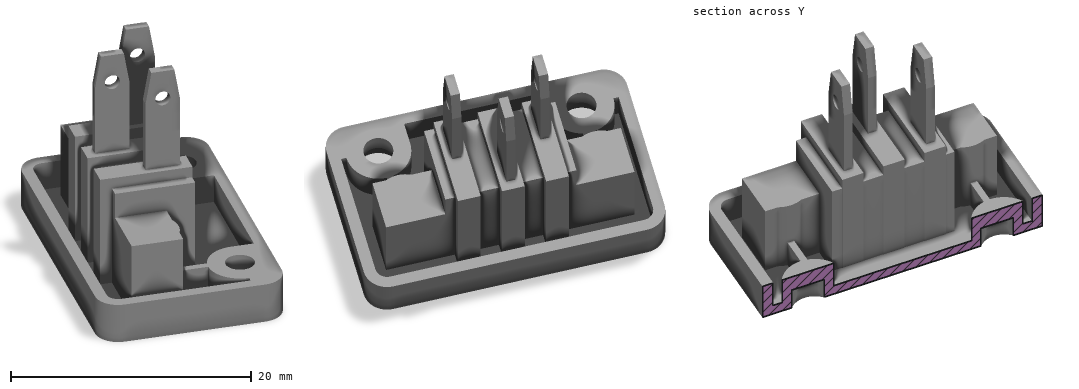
import cadquery as cq

TRAY_LENGTH = 25.9
TRAY_WIDTH = 16.2
TRAY_HEIGHT = 3.55
TRAY_CORNER_RADIUS = 2.0
WALL = 1.0
FLOOR = 1.0

SCREW_X = 8.75
SCREW_Y = 5.1
SCREW_HOLE_DIAMETER = 2.5
BOSS_RADIUS = 2.75
COUNTERBORE_DIAMETER = 4.0
COUNTERBORE_DEPTH = 2.0

BODY_LENGTH = 21.4
BODY_FRONT_Y = -4.85
BODY_REAR_Y = -0.38
BODY_TOP_Z = 7.7
SWELL_X = 8.45
SWELL_HEIGHT = 0.25
SWELL_CHORD = 2.2

WEB_THICKNESS = 0.6

HOUSING_LEFT_X = -5.6
HOUSING_RIGHT_X = 5.7
HOUSING_REAR_Y = 2.1
HOUSING_TOP_Z = 10.0

KEY_WIDTH = 0.45
KEY_DEPTH = 1.0
KEY_OFFSET = 1.44

TERMINAL_PITCH = 3.8
TERMINAL_WIDTH = 1.96
TERMINAL_FRONT_Y = -5.87
TERMINAL_REAR_Y = 2.13
TERMINAL_TOP_Z = 11.0

BLADE_THICKNESS = 0.8
BLADE_WIDTH = 3.0
BLADE_TIP_WIDTH = 2.0
BLADE_TOP_Z = 20.2
TAPER_START_Z = 17.3
BLADE_HOLE_DIAMETER = 1.3
BLADE_HOLE_Z = 17.6
OUTER_BLADE_Y = -0.27
MIDDLE_BLADE_Y = -3.55

TERMINALS = [
    (-TERMINAL_PITCH, OUTER_BLADE_Y),
    (0, MIDDLE_BLADE_Y),
    (TERMINAL_PITCH, OUTER_BLADE_Y),
]
SIDES = (-1, 1)


def block(x_min, x_max, y_min, y_max, z_min, z_max):
    """Box given by its limits along each axis."""
    size = (x_max - x_min, y_max - y_min, z_max - z_min)
    return cq.Workplane("XY").box(*size, centered=False).translate((x_min, y_min, z_min))


def make_cavity():
    """Tray interior, with its rear corners left solid around the screw bosses."""
    half_length = TRAY_LENGTH / 2 - WALL
    half_width = TRAY_WIDTH / 2 - WALL
    cavity_height = TRAY_HEIGHT - FLOOR
    cavity = block(-half_length, half_length, -half_width, half_width, FLOOR, TRAY_HEIGHT)
    cavity = cavity.edges("|Z and <Y").fillet(TRAY_CORNER_RADIUS - WALL)
    for side in SIDES:
        corner_x = sorted((side * (SCREW_X - BOSS_RADIUS), side * half_length))
        cavity = cavity.cut(block(*corner_x, SCREW_Y, half_width, FLOOR, TRAY_HEIGHT))
        boss = cq.Workplane("XY", origin=(side * SCREW_X, SCREW_Y, FLOOR))
        cavity = cavity.cut(boss.circle(BOSS_RADIUS).extrude(cavity_height))
    return cavity


def make_tray():
    """Round-cornered tray with an open top."""
    tray = cq.Workplane("XY").rect(TRAY_LENGTH, TRAY_WIDTH).extrude(TRAY_HEIGHT)
    return tray.edges("|Z").fillet(TRAY_CORNER_RADIUS).cut(make_cavity())


def make_body():
    """Low body whose rear face carries an arc-shaped swell near each end."""
    half_length = BODY_LENGTH / 2
    outline = cq.Workplane("XY").moveTo(-half_length, BODY_FRONT_Y).lineTo(half_length, BODY_FRONT_Y)
    outline = outline.lineTo(half_length, BODY_REAR_Y)
    for center_x in (SWELL_X, -SWELL_X):
        outline = outline.lineTo(center_x + SWELL_CHORD / 2, BODY_REAR_Y)
        crest = (center_x, BODY_REAR_Y + SWELL_HEIGHT)
        outline = outline.threePointArc(crest, (center_x - SWELL_CHORD / 2, BODY_REAR_Y))
    return outline.lineTo(-half_length, BODY_REAR_Y).close().extrude(BODY_TOP_Z)


def make_web(side):
    """Upright web between a screw boss and the body, level with the tray rim."""
    limits_x = sorted((side * SCREW_X, side * (SCREW_X - WEB_THICKNESS)))
    return block(*limits_x, BODY_REAR_Y, SCREW_Y - SCREW_HOLE_DIAMETER, 0, TRAY_HEIGHT)


def make_housing():
    """Raised middle housing, flush with the body's front face."""
    return block(HOUSING_LEFT_X, HOUSING_RIGHT_X, BODY_FRONT_Y, HOUSING_REAR_Y, 0, HOUSING_TOP_Z)


def make_key(center_x):
    """Upright strip set flush in the front face, as tall as the low body."""
    left_x = center_x - KEY_WIDTH / 2
    return block(
        left_x, left_x + KEY_WIDTH, BODY_FRONT_Y, BODY_FRONT_Y + KEY_DEPTH, FLOOR, BODY_TOP_Z
    )


def make_terminal(center_x):
    """Tall block that carries one blade."""
    left_x = center_x - TERMINAL_WIDTH / 2
    return block(
        left_x, left_x + TERMINAL_WIDTH, TERMINAL_FRONT_Y, TERMINAL_REAR_Y, 0, TERMINAL_TOP_Z
    )


def make_blade(center_x, center_y):
    """Flat blade with a tapered tip and a round hole across its thickness."""
    left_face = cq.Workplane("YZ", origin=(center_x - BLADE_THICKNESS / 2, center_y, 0))
    blade = left_face.polyline([
        (-BLADE_WIDTH / 2, 0),
        (BLADE_WIDTH / 2, 0),
        (BLADE_WIDTH / 2, TAPER_START_Z),
        (BLADE_TIP_WIDTH / 2, BLADE_TOP_Z),
        (-BLADE_TIP_WIDTH / 2, BLADE_TOP_Z),
        (-BLADE_WIDTH / 2, TAPER_START_Z),
    ]).close().extrude(BLADE_THICKNESS)
    hole = left_face.center(0, BLADE_HOLE_Z).circle(BLADE_HOLE_DIAMETER / 2).extrude(BLADE_THICKNESS)
    return blade.cut(hole)


def make_screw_holes():
    """Through holes for the screws, counterbored from the underside."""
    centers = cq.Workplane("XY").pushPoints([(side * SCREW_X, SCREW_Y) for side in SIDES])
    shanks = centers.circle(SCREW_HOLE_DIAMETER / 2).extrude(TRAY_HEIGHT)
    return shanks.union(centers.circle(COUNTERBORE_DIAMETER / 2).extrude(COUNTERBORE_DEPTH))


def make_part():
    part = make_tray().union(make_body()).union(make_housing())
    for side in SIDES:
        part = part.union(make_web(side))
    for center_x, blade_y in TERMINALS:
        part = part.union(make_terminal(center_x)).union(make_blade(center_x, blade_y))
    part = part.cut(make_screw_holes())
    for center_x, _ in TERMINALS:
        for side in SIDES:
            part = part.union(make_key(center_x + side * KEY_OFFSET), clean=False)
    return part.solids()


result = make_part()